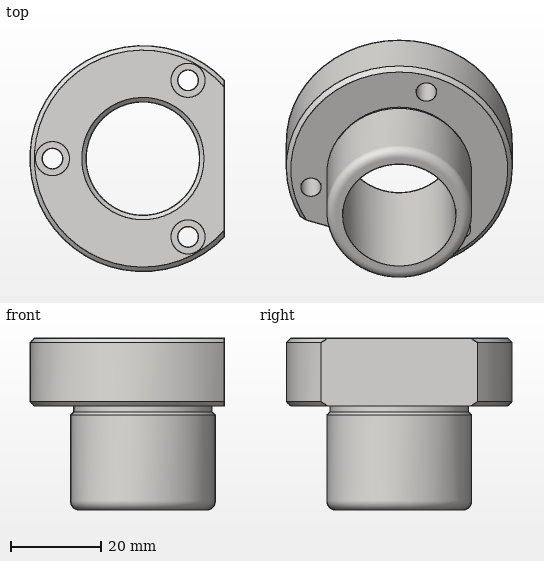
import cadquery as cq

flange_diameter = 49.95
flange_height = 15.05
flange_chamfer = 1.0
flat_offset = 18.05

total_height = 38.0
sleeve_diameter = 32.0
sleeve_end_radius = 2.0
neck_diameter = 30.65
neck_height = 1.3

bore_diameter = 25.0
bore_chamfer = 1.0

screw_count = 3
screw_circle_radius = 20.0
screw_hole_diameter = 4.5
counterbore_diameter = 7.55
counterbore_depth = 4.6

sleeve_height = total_height - flange_height - neck_height
sleeve_top_chamfer = (sleeve_diameter - neck_diameter) / 2


def make_flange():
    """Chamfered disc, its top at total_height, trimmed by the flat."""
    disc = (
        cq.Workplane("XY")
        .workplane(offset=total_height - flange_height)
        .circle(flange_diameter / 2)
        .extrude(flange_height)
        .faces("<Z or >Z")
        .edges()
        .chamfer(flange_chamfer)
    )
    beyond_flat = (
        cq.Workplane("XY")
        .box(flange_diameter, flange_diameter, total_height, centered=(False, True, False))
        .translate((flat_offset, 0, 0))
    )
    return disc.cut(beyond_flat)


def make_sleeve():
    """Sleeve standing on Z = 0, with the narrower neck above it."""
    sleeve = cq.Workplane("XY").circle(sleeve_diameter / 2).extrude(sleeve_height)
    sleeve = sleeve.faces(">Z").edges().chamfer(sleeve_top_chamfer)
    sleeve = sleeve.faces("<Z").edges().fillet(sleeve_end_radius)
    return sleeve.faces(">Z").workplane().circle(neck_diameter / 2).extrude(neck_height)


body = make_flange().union(make_sleeve())

body = body.cut(cq.Workplane("XY").circle(bore_diameter / 2).extrude(total_height))
top_rim = cq.selectors.RadiusNthSelector(0)
body = body.faces(">Z").edges("%CIRCLE").edges(top_rim).chamfer(bore_chamfer)

result = (
    body.faces(">Z")
    .workplane(origin=(0, 0, total_height))
    .polarArray(screw_circle_radius, 180, 360, screw_count)
    .cboreHole(screw_hole_diameter, counterbore_diameter, counterbore_depth)
)